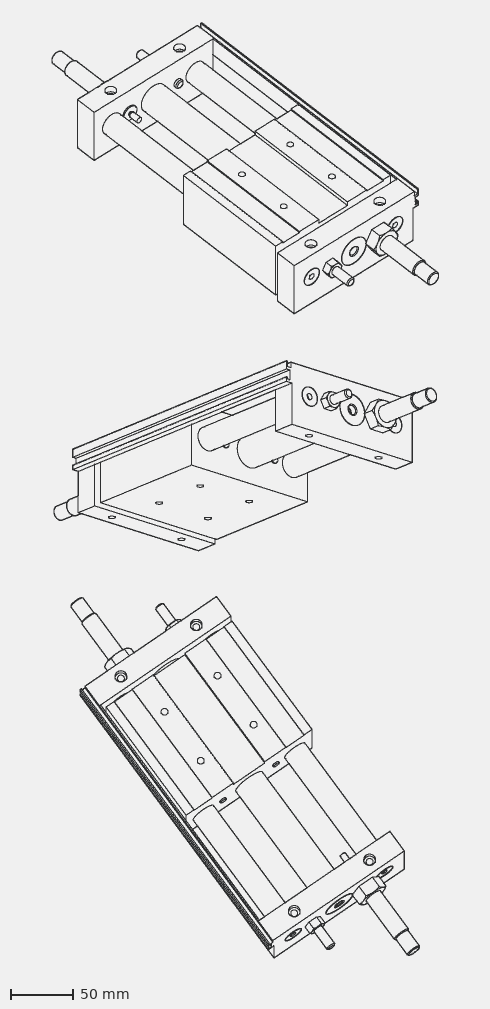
import cadquery as cq
import math


frame_length = 260.0
plate_thickness = 20.0
plate_width = 128.0
plate_top = 24.5
plate_height = 53.0
tube_diameter = 26.5
tube_overhang = 0.5
rod_diameter = 20.0
rod_offset = 45.0
face_x = frame_length / 2
inner_face_x = face_x - plate_thickness
tube_end_x = face_x + tube_overhang

mount_hole_offset = 37.0
mount_hole_diameter = 5.5
mount_counterbore_diameter = 9.5
mount_counterbore_depth = 6.0
port_bore_diameter = 6.0
port_bore_depth = 12.0
port_thread_diameter = 8.0
port_thread_depth = 6.0
port_mouth_diameter = 9.5
rod_recess_diameter = 16.0
rod_recess_depth = 0.5
rod_socket_diameter = 5.0
rod_socket_depth = 4.0

rail_depth = 6.0
rail_height = 17.7
rail_wall = 1.0
rail_web = 2.5
groove_depth = 4.7
groove_block_height = 7.0
foot_height = 2.5
foot_lip_height = 4.0

carriage_length = 110.7
carriage_center_x = 50.0
carriage_width = 123.7
carriage_top = 27.0
carriage_height = 54.0
channel_outer = 54.0
channel_inner = 36.2
channel_depth = 1.0
trough_width = 30.7
trough_depth = 4.0
thread_hole_diameter = 5.5
thread_hole_spacing = 50.0
bumper_diameter = 6.0
bumper_length = 1.0

stop_offset = 26.0
absorber_diameter = 14.0
absorber_end_x = 197.0
absorber_tip_diameter = 12.2
absorber_tip_length = 16.5
absorber_overhang = 1.0
absorber_chamfer = 0.8
absorber_nut_size = 23.0
absorber_nut_thickness = 10.5
piston_neck_diameter = 4.0
piston_neck_length = 1.5
piston_cap_diameter = 5.0
piston_cap_length = 9.0
bolt_diameter = 8.0
bolt_end_x = 156.0
bolt_overhang = 3.0
bolt_chamfer = 1.0
bolt_nut_size = 13.0
bolt_nut_thickness = 7.0


def rod_along_x(diameter, start_x, end_x, y=0.0):
    """Round bar parallel to X, from start_x to end_x."""
    plane = cq.Plane(origin=(start_x, y, 0), xDir=(0, 1, 0), normal=(1, 0, 0))
    return cq.Workplane(plane).circle(diameter / 2).extrude(end_x - start_x)


def turned(body, angle):
    """Copy of a body turned about the Z axis."""
    return body.rotate((0, 0, 0), (0, 0, 1), angle)


def make_nut(across_flats, thickness, y):
    """Hexagon nut on the outer face of the +X plate, with its outer corners chamfered."""
    across_corners = across_flats / math.cos(math.pi / 6)
    corner_cut = (across_corners - across_flats) / 2
    plane = cq.Plane(origin=(face_x, y, 0), xDir=(0, 1, 0), normal=(1, 0, 0))
    hexagon = cq.Workplane(plane).polygon(6, across_corners).extrude(thickness)
    corner_cone = (
        cq.Workplane(plane)
        .circle(across_corners / 2)
        .extrude(thickness)
        .faces(">X")
        .chamfer(corner_cut * math.tan(math.pi / 6), corner_cut)
    )
    return hexagon.intersect(corner_cone)


def make_rail():
    """Open profile with a groove on top and a lipped foot, as long as the frame."""
    inner_y = plate_width / 2
    outer_y = inner_y + rail_depth
    bottom = plate_top - rail_height
    outline = [
        (inner_y, bottom),
        (outer_y, bottom),
        (outer_y, bottom + foot_lip_height),
        (outer_y - rail_wall, bottom + foot_lip_height),
        (outer_y - rail_wall, bottom + foot_height),
        (inner_y + rail_web, bottom + foot_height),
        (inner_y + rail_web, plate_top - groove_block_height),
        (outer_y, plate_top - groove_block_height),
        (outer_y, plate_top),
        (outer_y - rail_wall, plate_top),
        (outer_y - rail_wall, plate_top - groove_depth),
        (inner_y + rail_wall, plate_top - groove_depth),
        (inner_y + rail_wall, plate_top),
        (inner_y, plate_top),
    ]
    return cq.Workplane("YZ").polyline(outline).close().extrude(frame_length / 2, both=True)


def make_end_cuts():
    """Everything removed from the +X end of the frame."""
    mount_points = [(0, -mount_hole_offset), (0, mount_hole_offset)]
    mount_plane = cq.Workplane("XY", origin=(face_x - plate_thickness / 2, 0, plate_top))
    mount_holes = mount_plane.pushPoints(mount_points)
    counterbores = mount_holes.circle(mount_counterbore_diameter / 2).extrude(-mount_counterbore_depth)
    cuts = mount_holes.circle(mount_hole_diameter / 2).extrude(-plate_height).union(counterbores)

    mouth_radius = port_mouth_diameter / 2
    thread_radius = port_thread_diameter / 2
    port_mouth = cq.Solid.makeCone(
        mouth_radius,
        thread_radius,
        mouth_radius - thread_radius,
        cq.Vector(tube_end_x, 0, 0),
        cq.Vector(-1, 0, 0),
    )
    cuts = cuts.union(rod_along_x(port_bore_diameter, tube_end_x - port_bore_depth, tube_end_x))
    cuts = cuts.union(rod_along_x(port_thread_diameter, tube_end_x - port_thread_depth, tube_end_x))
    cuts = cuts.union(cq.Workplane(port_mouth))

    for side in (-1, 1):
        y = side * rod_offset
        recess_floor_x = face_x - rod_recess_depth
        cuts = cuts.union(rod_along_x(rod_recess_diameter, recess_floor_x, face_x, y))
        socket_x = recess_floor_x - rod_socket_depth
        cuts = cuts.union(rod_along_x(rod_socket_diameter, socket_x, recess_floor_x, y))

    cuts = cuts.union(make_nut(absorber_nut_size, absorber_nut_thickness, stop_offset))

    cuts = cuts.union(rod_along_x(absorber_diameter, inner_face_x, face_x, stop_offset))
    return cuts.union(rod_along_x(bolt_diameter, inner_face_x, face_x, -stop_offset))


def make_frame():
    """End plates, tube, guide rods and rail as one solid."""
    plate = cq.Workplane("XY").box(plate_thickness, plate_width, plate_height).translate(
        (face_x - plate_thickness / 2, 0, plate_top - plate_height / 2)
    )
    frame = make_rail()
    for angle in (0, 180):
        frame = frame.union(turned(plate, angle))
    frame = frame.union(rod_along_x(tube_diameter, -tube_end_x, tube_end_x))
    for side in (-1, 1):
        frame = frame.union(rod_along_x(rod_diameter, -inner_face_x, inner_face_x, side * rod_offset))
    end_cuts = make_end_cuts()
    for angle in (0, 180):
        frame = frame.cut(turned(end_cuts, angle))
    return frame


def make_piston():
    """Neck and cap that stick out of the inner end of the +X shock absorber."""
    absorber_inner_x = inner_face_x - absorber_overhang
    neck_end_x = absorber_inner_x - piston_neck_length
    neck = rod_along_x(piston_neck_diameter, neck_end_x, absorber_inner_x, stop_offset)
    cap = rod_along_x(piston_cap_diameter, neck_end_x - piston_cap_length, neck_end_x, stop_offset)
    return neck.union(cap)


def make_absorber():
    """Shock absorber of the +X end with its lock nut and piston."""
    shoulder_x = absorber_end_x - absorber_tip_length
    barrel = rod_along_x(absorber_diameter, inner_face_x - absorber_overhang, shoulder_x, stop_offset)
    barrel = barrel.faces(">X").chamfer(absorber_chamfer)
    tip = rod_along_x(absorber_tip_diameter, shoulder_x, absorber_end_x, stop_offset)
    tip = tip.faces(">X").chamfer(absorber_chamfer)
    nut = make_nut(absorber_nut_size, absorber_nut_thickness, stop_offset)
    return barrel.union(tip).union(nut).union(make_piston())


def make_bolt():
    """Stop bolt of the +X end with its lock nut."""
    shank = rod_along_x(bolt_diameter, inner_face_x - bolt_overhang, bolt_end_x, -stop_offset)
    shank = shank.faces("<X or >X").chamfer(bolt_chamfer)
    return shank.union(make_nut(bolt_nut_size, bolt_nut_thickness, -stop_offset))


def make_carriage():
    """Block that slides on the tube and guide rods."""
    carriage = cq.Workplane("XY").box(carriage_length, carriage_width, carriage_height).translate(
        (carriage_center_x, 0, carriage_top - carriage_height / 2)
    )
    top_plane = cq.Workplane("XY", origin=(carriage_center_x, 0, carriage_top))

    carriage = carriage.cut(top_plane.rect(carriage_length, trough_width).extrude(-trough_depth))
    channel_y = (channel_outer + channel_inner) / 2
    channels = (
        top_plane.pushPoints([(0, -channel_y), (0, channel_y)])
        .rect(carriage_length, channel_outer - channel_inner)
        .extrude(-channel_depth)
    )
    carriage = carriage.cut(channels)

    thread_holes = (
        top_plane.rect(thread_hole_spacing, 2 * stop_offset, forConstruction=True)
        .vertices()
        .circle(thread_hole_diameter / 2)
        .extrude(-carriage_height)
    )
    carriage = carriage.cut(thread_holes)

    for end in (-1, 1):
        end_x = carriage_center_x + end * carriage_length / 2
        for side in (-1, 1):
            stud = rod_along_x(bumper_diameter, end_x, end_x + end * bumper_length, side * stop_offset)
            carriage = carriage.union(stud)

    carriage = carriage.cut(rod_along_x(tube_diameter, -inner_face_x, inner_face_x))
    for side in (-1, 1):
        carriage = carriage.cut(rod_along_x(rod_diameter, -inner_face_x, inner_face_x, side * rod_offset))
    return carriage.cut(make_piston())


frame = make_frame()
carriage = make_carriage()
absorbers = [turned(make_absorber(), angle) for angle in (0, 180)]
bolts = [turned(make_bolt(), angle) for angle in (0, 180)]

result = cq.Compound.makeCompound(
    [
        frame.val(),
        carriage.val(),
        *[absorber.val() for absorber in absorbers],
        *[bolt.val() for bolt in bolts],
    ]
)